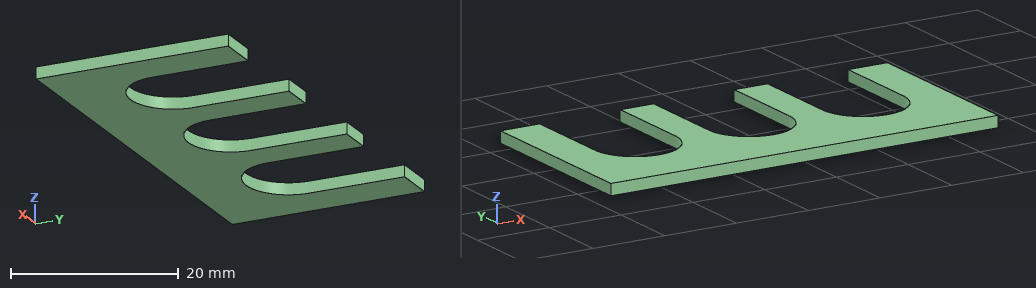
import cadquery as cq

length = 54.0
depth = 25.4
thickness = 1.55

slot_count = 3
slot_pitch = 15.85
slot_width = 11.2
web_depth = 7.2

slot_radius = slot_width / 2
arc_center_y = -depth / 2 + web_depth + slot_radius


def open_slot(center_x):
    """Cutter with a half-round bottom, running straight out through the +Y edge."""
    left = center_x - slot_radius
    right = center_x + slot_radius
    return (
        cq.Workplane("XY")
        .moveTo(left, depth / 2)
        .lineTo(left, arc_center_y)
        .threePointArc((center_x, arc_center_y - slot_radius), (right, arc_center_y))
        .lineTo(right, depth / 2)
        .close()
        .extrude(thickness)
    )


result = cq.Workplane("XY").box(length, depth, thickness, centered=(True, True, False))

for index in range(slot_count):
    slot_x = (index - (slot_count - 1) / 2) * slot_pitch
    result = result.cut(open_slot(slot_x))